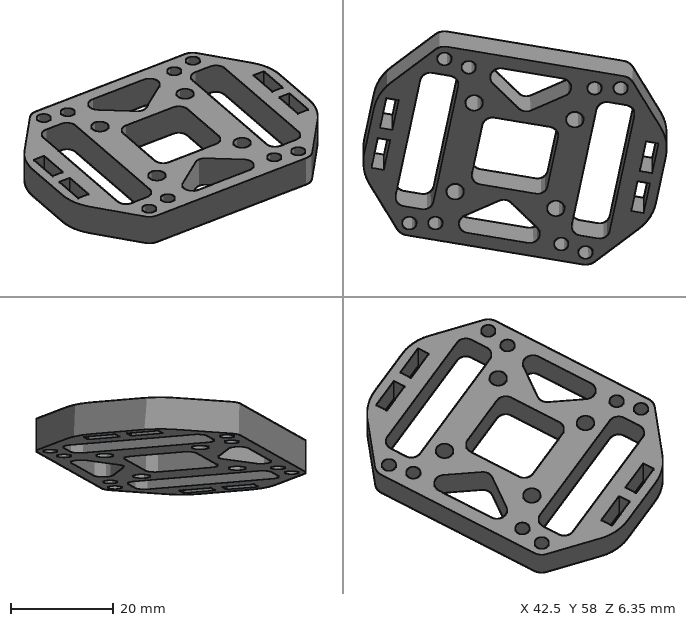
import cadquery as cq

WIDTH = 42.5
LENGTH = 58.0
THICKNESS = 6.35
END_FLAT_WIDTH = 17.4
SIDE_FLAT_LENGTH = 37.6
END_CORNER_RADIUS = 10.0
SIDE_CORNER_RADIUS = 2.75

WINDOW_RADIUS = 2.0
CENTER_WINDOW_SIZE = 15.0
CROSS_WINDOW_WIDTH = 30.0
CROSS_WINDOW_HEIGHT = 7.5
CROSS_WINDOW_Y = 17.5
TRIANGLE_BASE_X = 18.5
TRIANGLE_TIP_X = 9.5
TRIANGLE_HALF_BASE = 12.0

SLOT_WIDTH = 6.65
SLOT_HEIGHT = 2.45
SLOT_X = 4.5
SLOT_Y = 25.8

CENTER_HOLE_DIAMETER = 3.4
CENTER_HOLE_OFFSET = 10.0
ARM_HOLE_DIAMETER = 2.8
OUTER_ARM_HOLE = (18.5, 17.5)
INNER_ARM_HOLE = (17.55, 12.5)


def mirrored(x, y):
    """The point and its mirror images in all four quadrants."""
    return [(sx * x, sy * y) for sx in (-1, 1) for sy in (-1, 1)]


def make_plate():
    """Rectangular plate with slanted, rounded corners."""
    half_width = WIDTH / 2
    half_length = LENGTH / 2
    end_x = END_FLAT_WIDTH / 2
    side_y = SIDE_FLAT_LENGTH / 2
    outline = [
        (end_x, half_length),
        (half_width, side_y),
        (half_width, -side_y),
        (end_x, -half_length),
        (-end_x, -half_length),
        (-half_width, -side_y),
        (-half_width, side_y),
        (-end_x, half_length),
    ]
    plate = cq.Workplane("XY").polyline(outline).close().extrude(THICKNESS)
    plate = plate.edges("|Z and (<Y or >Y)").fillet(END_CORNER_RADIUS)
    return plate.edges("|Z and (<X or >X)").fillet(SIDE_CORNER_RADIUS)


def rectangular_cutter(width, height, centers):
    """Rectangular prisms through the plate thickness."""
    return cq.Workplane("XY").pushPoints(centers).rect(width, height).extrude(THICKNESS)


def round_cutter(diameter, centers):
    """Cylinders through the plate thickness."""
    return cq.Workplane("XY").pushPoints(centers).circle(diameter / 2).extrude(THICKNESS)


def triangle_cutter(side):
    """Rounded triangle pointing at the plate center; side is -1 or 1."""
    corners = [
        (side * TRIANGLE_BASE_X, TRIANGLE_HALF_BASE),
        (side * TRIANGLE_TIP_X, 0),
        (side * TRIANGLE_BASE_X, -TRIANGLE_HALF_BASE),
    ]
    triangle = cq.Workplane("XY").polyline(corners).close().extrude(THICKNESS)
    return triangle.edges("|Z").fillet(WINDOW_RADIUS)


def cut_windows(plate):
    """Central square, two cross windows and two triangles."""
    center = rectangular_cutter(CENTER_WINDOW_SIZE, CENTER_WINDOW_SIZE, [(0, 0)])
    plate = plate.cut(center.edges("|Z").fillet(WINDOW_RADIUS))
    for side in (-1, 1):
        cross = rectangular_cutter(CROSS_WINDOW_WIDTH, CROSS_WINDOW_HEIGHT, [(0, side * CROSS_WINDOW_Y)])
        plate = plate.cut(cross.edges("|Z").fillet(WINDOW_RADIUS))
        plate = plate.cut(triangle_cutter(side))
    return plate


def cut_slots(plate):
    """A pair of strap slots at each end."""
    return plate.cut(rectangular_cutter(SLOT_WIDTH, SLOT_HEIGHT, mirrored(SLOT_X, SLOT_Y)))


def cut_holes(plate):
    """Square pattern around the center and two holes near each corner."""
    plate = plate.cut(round_cutter(CENTER_HOLE_DIAMETER, mirrored(CENTER_HOLE_OFFSET, CENTER_HOLE_OFFSET)))
    for position in (OUTER_ARM_HOLE, INNER_ARM_HOLE):
        plate = plate.cut(round_cutter(ARM_HOLE_DIAMETER, mirrored(*position)))
    return plate


result = cut_holes(cut_slots(cut_windows(make_plate())))